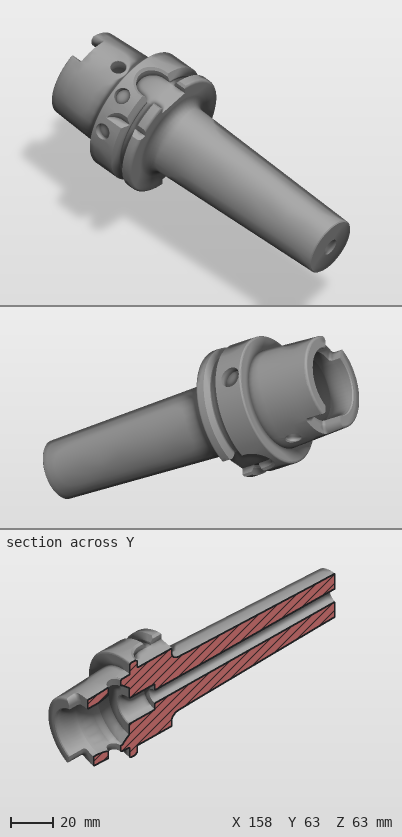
import cadquery as cq
import math


total_length = 158.0
flange_start = 32.0
flange_end = 58.0

shank_front_radius = 22.7
shank_rear_radius = 24.3
shank_fillet = 1.3

flange_radius = 31.51
flange_front_fillet = 1.0
flange_back_fillet = 1.5
groove_radius = 27.0
groove_start = 48.3
groove_end = 51.5
groove_mouth_start = 46.3
groove_mouth_end = 53.2
groove_side_angle = math.radians(30)

nose_tip_radius = 14.5
nose_half_angle = math.radians(2)
nose_tip_chamfer = 0.5
neck_fillet = 4.5

socket_radius = 16.7
socket_mouth_radius = 17.2
socket_mouth_length = 0.5
clamp_shoulder_start = 13.0
clamp_shoulder_angle = math.radians(15)
clamp_recess_radius = 19.6
socket_floor_radius = 15.5
socket_depth = 31.6
coolant_radius = 8.4
coolant_chamfer = 0.5
coolant_depth = 47.4
through_radius = 4.19

slot_half_width = 6.3
slot_flare_radius = 3.5
slot_flare_height = 17.8
slot_corner_radius = 1.5
top_slot_depth = 6.3
bottom_slot_depth = 10.0

cross_hole_position = 22.7
cross_hole_radius = 3.71
cross_hole_chamfer = 0.5

keyway_half_width = 8.0
keyway_floor = 25.9
keyway_start = 36.8
keyway_chamfer = 1.3

notch_floor = 19.9
notch_wall = 20.2
notch_cutter_radius = 7.9
notch_cutter_position = 43.8

radial_hole_position = 37.9
radial_hole_radius = 4.03
radial_hole_depth = 3.5
radial_hole_angles = (26, 63)
chip_hole_radius = 5.0
chip_hole_depth = 4.6
chip_hole_angle = 180

clearance = 7.9
selection_margin = 0.2


def body():
    """Solid of revolution: shank, grooved flange and tapered nose."""
    start_wall = flange_radius - (groove_start - groove_mouth_start) / math.tan(groove_side_angle)
    end_wall = flange_radius - (groove_mouth_end - groove_end) / math.tan(groove_side_angle)
    neck_radius = nose_tip_radius + (total_length - flange_end) * math.tan(nose_half_angle)
    outline = [
        (0, 0),
        (0, shank_front_radius),
        (flange_start, shank_rear_radius),
        (flange_start, flange_radius),
        (groove_mouth_start, flange_radius),
        (groove_start, start_wall),
        (groove_start, groove_radius),
        (groove_end, groove_radius),
        (groove_end, end_wall),
        (groove_mouth_end, flange_radius),
        (flange_end, flange_radius),
        (flange_end, neck_radius),
        (total_length - nose_tip_chamfer, nose_tip_radius),
        (total_length, nose_tip_radius - nose_tip_chamfer),
        (total_length, 0),
    ]
    solid = cq.Workplane("XY").polyline(outline).close().revolve(360, (0, 0, 0), (1, 0, 0))
    rounded_edges = [
        (0, shank_front_radius, shank_fillet),
        (flange_start, flange_radius, flange_front_fillet),
        (flange_end, neck_radius, neck_fillet),
        (flange_end, flange_radius, flange_back_fillet),
    ]
    for position, edge_radius, fillet in rounded_edges:
        reach = edge_radius + selection_margin
        low = (position - selection_margin, -reach, -reach)
        high = (position + selection_margin, reach, reach)
        edges_at_step = solid.edges(cq.selectors.BoxSelector(low, high, boundingbox=True))
        solid = edges_at_step.edges(cq.selectors.RadiusNthSelector(-1)).fillet(fillet)
    return solid


def bore():
    """Socket with a chamfered mouth and a wider clamping recess, coolant bore and through hole."""
    shoulder_length = (clamp_recess_radius - socket_radius) / math.tan(clamp_shoulder_angle)
    outline = [
        (0, 0),
        (0, socket_mouth_radius),
        (socket_mouth_length, socket_radius),
        (clamp_shoulder_start, socket_radius),
        (clamp_shoulder_start + shoulder_length, clamp_recess_radius),
        (socket_depth - (clamp_recess_radius - socket_floor_radius), clamp_recess_radius),
        (socket_depth, socket_floor_radius),
        (socket_depth, coolant_radius + coolant_chamfer),
        (socket_depth + coolant_chamfer, coolant_radius),
        (coolant_depth, coolant_radius),
        (coolant_depth, through_radius),
        (total_length, through_radius),
        (total_length, 0),
    ]
    return cq.Workplane("XY").polyline(outline).close().revolve(360, (0, 0, 0), (1, 0, 0))


def drive_slot(depth):
    """Slot on the +Z side whose walls flare outward in an arc and round into its end."""
    arc_end = slot_half_width + slot_flare_radius
    mouth_height = slot_flare_height + slot_flare_radius
    arc_step = slot_flare_radius * (1 - math.sqrt(0.5))
    arc_middle = (slot_half_width + arc_step, mouth_height - arc_step)
    mouth_half_width = arc_end + clearance
    top = shank_rear_radius + clearance
    half_slot = (
        cq.Workplane("YZ", origin=(-clearance, 0, 0))
        .lineTo(slot_half_width, 0)
        .lineTo(slot_half_width, slot_flare_height)
        .threePointArc(arc_middle, (arc_end, mouth_height))
        .lineTo(mouth_half_width, mouth_height)
        .lineTo(mouth_half_width, top)
        .lineTo(0, top)
        .close()
        .extrude(clearance + depth)
    )
    slot = half_slot.union(half_slot.mirror("XZ"))
    return slot.faces(">X").edges("%CIRCLE or |Z").fillet(slot_corner_radius)


def cross_hole():
    """Hole along Z through both shank walls, with its outer mouths countersunk."""
    shank_growth = (shank_rear_radius - shank_front_radius) / flange_start
    mouth = shank_front_radius + shank_growth * cross_hole_position
    rim = cross_hole_radius + cross_hole_chamfer
    outline = [
        (0, -mouth - clearance),
        (rim, -mouth - clearance),
        (rim, -mouth),
        (cross_hole_radius, -mouth + cross_hole_chamfer),
        (cross_hole_radius, mouth - cross_hole_chamfer),
        (rim, mouth),
        (rim, mouth + clearance),
        (0, mouth + clearance),
    ]
    hole = cq.Workplane("XZ").polyline(outline).close().revolve(360, (0, 0, 0), (0, 1, 0))
    return hole.translate((cross_hole_position, 0, 0))


def keyway():
    """Round-ended keyway on the +Z side, open toward the nose, with a chamfer along its rim."""
    slot_length = 2 * (flange_end - keyway_start)
    centre = keyway_start + slot_length / 2
    slot = (
        cq.Workplane("XY", origin=(centre, 0, keyway_floor))
        .slot2D(slot_length, 2 * keyway_half_width)
        .extrude(clearance)
    )
    blank = (
        cq.Workplane("YZ", origin=(flange_start, 0, 0))
        .circle(flange_radius)
        .extrude(flange_end - flange_start)
    )
    reach = keyway_half_width + selection_margin
    rim = cq.selectors.BoxSelector(
        (keyway_start - selection_margin, -reach, keyway_floor + selection_margin),
        (flange_end - selection_margin, reach, flange_radius + selection_margin),
    )
    keyed_blank = blank.cut(slot).edges(rim).chamfer(keyway_chamfer)
    return blank.cut(keyed_blank)


def corner_notch():
    """Square-cornered notch on the -Y, +Z side, milled from the nose end with a round tool."""
    tool_centre = -notch_wall - notch_cutter_radius
    run = flange_end + clearance - notch_cutter_position
    base = cq.Workplane("XY", origin=(notch_cutter_position, tool_centre, notch_floor))
    round_end = base.circle(notch_cutter_radius).extrude(flange_radius)
    ahead = base.box(run, 2 * notch_cutter_radius, flange_radius, centered=(False, True, False))
    return round_end.union(ahead)


def radial_hole(angle, radius, depth):
    """Flat-bottomed hole toward the axis, at an angle from -Y turning toward +Z."""
    hole = (
        cq.Workplane("XZ", origin=(radial_hole_position, 0, 0))
        .workplane(offset=flange_radius - depth)
        .circle(radius)
        .extrude(depth + clearance)
    )
    return hole.rotate((0, 0, 0), (1, 0, 0), -angle)


def opposite(cutter):
    """The same cutter turned half a turn about the axis."""
    return cutter.rotate((0, 0, 0), (1, 0, 0), 180)


result = body().cut(bore()).cut(cross_hole())
result = result.cut(drive_slot(top_slot_depth)).cut(opposite(drive_slot(bottom_slot_depth)))
result = result.cut(keyway()).cut(opposite(keyway()))
result = result.cut(corner_notch())
for hole_angle in radial_hole_angles:
    result = result.cut(radial_hole(hole_angle, radial_hole_radius, radial_hole_depth))
result = result.cut(radial_hole(chip_hole_angle, chip_hole_radius, chip_hole_depth))